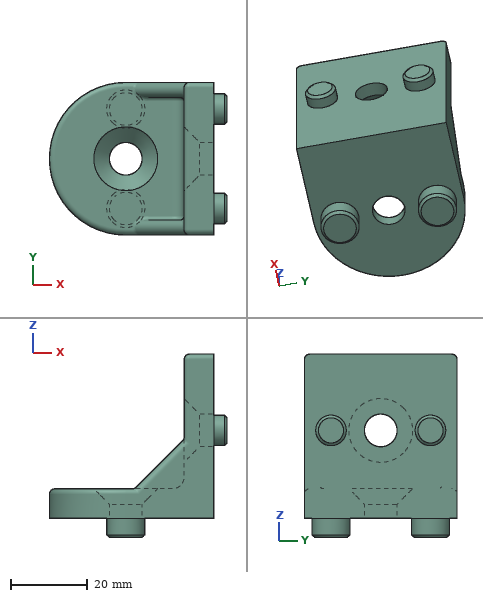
import cadquery as cq
import math

width = 40.0
leg_length = 43.0
plate_thickness = 7.8
edge_radius = 1.5
corner_radius = 3.0
nose_radius = width / 2
heel_x = leg_length - nose_radius
wall_x = heel_x - plate_thickness

rib_width = 4.0
rib_crest_radius = rib_width / 2
rib_leg = 13.0
rib_base_radius = 1.0

hole_diameter = 8.5
countersink_diameter = 16.7
countersink_angle = 90
hole_distance = heel_x

pin_spacing = 26.0
pin_chamfer = 0.7
foot_pin_diameter = 10.0
foot_pin_length = 5.0
wall_pin_diameter = 8.0
wall_pin_length = 3.5


def edges_near(body, points):
    """The edges of a body whose centres lie closest to the given points."""
    found = [body.edges(cq.selectors.NearestToPointSelector(point)).val() for point in points]
    return body.newObject(found)


def make_half_legs():
    """The -Y half of the foot and wall, with the inside corner filleted."""
    foot = (
        cq.Workplane("XY")
        .moveTo(-nose_radius, 0)
        .radiusArc((0, -nose_radius), -nose_radius)
        .lineTo(heel_x, -nose_radius)
        .lineTo(heel_x, 0)
        .close()
        .extrude(plate_thickness)
    )
    wall = (
        cq.Workplane("XY", origin=(wall_x, -nose_radius, 0))
        .box(plate_thickness, nose_radius, leg_length, centered=False)
    )
    inside_corner = (wall_x, -nose_radius / 2, plate_thickness)
    return edges_near(foot.union(wall), [inside_corner]).fillet(corner_radius)


def make_rib():
    """Rib on the -Y side: a round-topped 45-degree bar, trimmed to a triangle sunk into both legs."""
    sunk_depth = plate_thickness / 2
    sunk_leg = rib_leg + 2 * sunk_depth
    low_x = wall_x + sunk_depth - sunk_leg
    low_z = plate_thickness - sunk_depth
    bar_length = sunk_leg * math.sqrt(2)
    bar_depth = sunk_leg / math.sqrt(2)

    crest_plane = cq.Plane(
        origin=(low_x, rib_crest_radius - nose_radius, low_z), xDir=(0, 1, 0), normal=(1, 0, 1)
    )
    bar = (
        cq.Workplane(crest_plane)
        .moveTo(-rib_crest_radius, -bar_depth)
        .lineTo(-rib_crest_radius, -rib_crest_radius)
        .threePointArc((0, 0), (rib_crest_radius, -rib_crest_radius))
        .lineTo(rib_crest_radius, -bar_depth)
        .close()
        .extrude(bar_length)
    )
    triangle = (
        cq.Workplane("XZ")
        .moveTo(low_x, low_z)
        .lineTo(low_x + sunk_leg, low_z)
        .lineTo(low_x + sunk_leg, low_z + sunk_leg)
        .close()
        .extrude(nose_radius)
    )
    return bar.intersect(triangle)


def blend_rib_base(half):
    """Fillet round the rib where it meets the foot, the inside corner and the wall."""
    inner_base = (wall_x - rib_leg / 2, rib_width - nose_radius, plate_thickness)
    return edges_near(half, [inner_base]).fillet(rib_base_radius)


def round_rims(half):
    """Round the upper rim of the foot and the front, top and side rims of the wall."""
    wall_middle_x = (wall_x + heel_x) / 2
    wall_middle_z = (plate_thickness + leg_length) / 2
    return edges_near(half, [
        (0, -nose_radius, plate_thickness),
        (wall_x, -nose_radius, wall_middle_z),
        (wall_x, -nose_radius / 2, leg_length),
        (wall_middle_x, -nose_radius, leg_length),
    ]).fillet(edge_radius)


def make_bracket():
    """Both halves joined, with a countersunk hole through each leg."""
    half = round_rims(make_half_legs()).union(make_rib())
    half = blend_rib_base(half)
    bracket = half.union(half.mirror("XZ"))
    bracket = (
        bracket
        .copyWorkplane(cq.Workplane("XY", origin=(0, 0, plate_thickness)))
        .cskHole(hole_diameter, countersink_diameter, countersink_angle)
    )
    inner_wall_plane = cq.Plane(origin=(wall_x, 0, hole_distance), xDir=(0, 1, 0), normal=(-1, 0, 0))
    return (
        bracket
        .copyWorkplane(cq.Workplane(inner_wall_plane))
        .cskHole(hole_diameter, countersink_diameter, countersink_angle)
    )


def make_pin(face_plane, offset, diameter, length):
    """Round pin standing on a face, its free end chamfered."""
    return (
        cq.Workplane(face_plane)
        .center(offset, 0)
        .circle(diameter / 2)
        .extrude(length)
        .faces(cq.selectors.DirectionMinMaxSelector(face_plane.zDir))
        .chamfer(pin_chamfer)
    )


underside = cq.Plane(origin=(0, 0, 0), xDir=(0, 1, 0), normal=(0, 0, -1))
heel_face = cq.Plane(origin=(heel_x, 0, hole_distance), xDir=(0, 1, 0), normal=(1, 0, 0))

bracket = make_bracket()
foot_pins = []
wall_pins = []
for side in (-1, 1):
    offset = side * pin_spacing / 2
    foot_pins.append(make_pin(underside, offset, foot_pin_diameter, foot_pin_length).val())
    wall_pins.append(make_pin(heel_face, offset, wall_pin_diameter, wall_pin_length).val())

result = cq.Compound.makeCompound([bracket.val(), *foot_pins, *wall_pins])